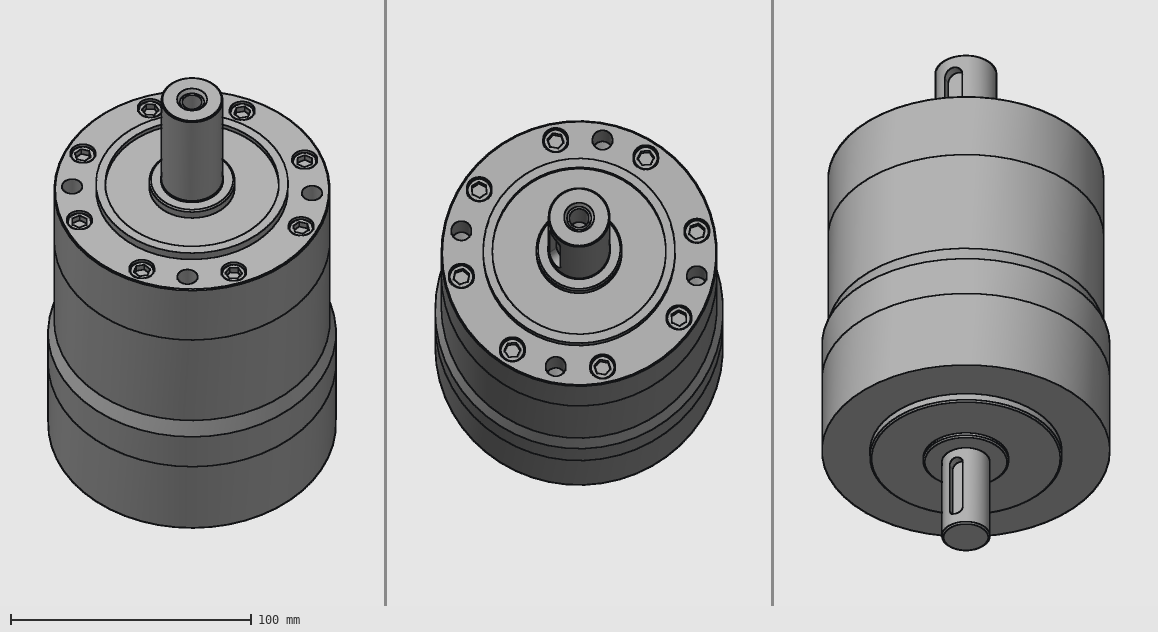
import cadquery as cq
import math

INPUT_HUB_BOTTOM = 39.0
INPUT_BOSS_BOTTOM = 41.0
INPUT_FLANGE_BOTTOM = 44.8
INPUT_FLANGE_TOP = 82.0
CONE_BOTTOM = 100.0
CONE_TOP = 107.2
OUTPUT_FLANGE_BOTTOM = 156.0
OUTPUT_FLANGE_TOP = 186.3
OUTPUT_BOSS_TOP = 190.1
OUTPUT_HUB_TOP = 192.3
SEAL_SEAT_TOP = 193.0
OUTPUT_SHAFT_TOP = 241.0

LARGE_DIAMETER = 120.0
SMALL_DIAMETER = 115.0
BOSS_DIAMETER = 80.0
HUB_DIAMETER = 35.7
OUTPUT_SHAFT_DIAMETER = 25.5
SEAL_SEAT_DIAMETER = 26.0
INPUT_SHAFT_DIAMETER = 20.0

EDGE_CHAMFER = 0.7
OUTPUT_FLANGE_CHAMFER = 0.5
OUTPUT_SHAFT_CHAMFER = 0.5

BOSS_RECESS_DIAMETER = 72.3
BOSS_RECESS_DEPTH = 2.2

OUTPUT_KEY_WIDTH = 8.0
OUTPUT_KEY_DEPTH = 4.0
OUTPUT_KEY_BOTTOM = 196.5
OUTPUT_KEY_TOP = 235.2
INPUT_KEY_WIDTH = 6.0
INPUT_KEY_DEPTH = 3.5
INPUT_KEY_BOTTOM = 5.5
INPUT_KEY_TOP = 34.7

CENTRE_MOUTH_DIAMETER = 12.5
CENTRE_SEAT_DIAMETER = 10.1
CENTRE_SEAT_DEPTH = 1.7
CENTRE_BORE_DIAMETER = 8.2
CENTRE_BORE_DEPTH = 21.7

BOLT_CIRCLE_DIAMETER = 100.0
DRILL_POINT_ANGLE = 120.0
MOUNT_HOLE_COUNT = 4
MOUNT_HOLE_ANGLE = 45.0
MOUNT_HOLE_DIAMETER = 8.5
MOUNT_HOLE_DEPTH = 16.9
SCREW_COUNT = 8
SCREW_ANGLE = 22.5
SCREW_BORE_DIAMETER = 10.5
SCREW_HEAD_DIAMETER = 9.6
SCREW_HEAD_RECESS = 1.0
SCREW_GAP_DEPTH = 2.0
SOCKET_SIDES = 6
SOCKET_ACROSS_FLATS = 6.0
SOCKET_DEPTH = 3.0
SOCKET_TWIST = 7.5


def cylinder(diameter, bottom, top):
    """Cylinder on the Z axis between two heights."""
    return cq.Workplane("XY").workplane(offset=bottom).circle(diameter / 2).extrude(top - bottom)


def drilled_hole(diameter, depth, mouth_height):
    """Drill shape on the Z axis: a straight bore of the given depth with a conical point below it."""
    radius = diameter / 2
    point_length = radius / math.tan(math.radians(DRILL_POINT_ANGLE / 2))
    shoulder_height = mouth_height - depth
    profile = [
        (0, mouth_height),
        (radius, mouth_height),
        (radius, shoulder_height),
        (0, shoulder_height - point_length),
    ]
    return cq.Workplane("XZ").polyline(profile).close().revolve(360, (0, 0, 0), (0, 1, 0))


def at_bolt_circle(shape, angle):
    """Move a shape from the Z axis onto the bolt circle and turn it to the given angle."""
    moved = shape.translate((BOLT_CIRCLE_DIAMETER / 2, 0, 0))
    return moved.rotate((0, 0, 0), (0, 0, 1), angle)


def keyway(shaft_diameter, width, depth, bottom, top):
    """Round-ended slot that opens on the +Y side of a shaft."""
    shaft_radius = shaft_diameter / 2
    return (
        cq.Workplane("XZ", origin=(0, shaft_radius, (bottom + top) / 2))
        .slot2D(top - bottom, width, 90)
        .extrude(depth)
    )


def centre_hole():
    """Conical mouth, flat seat and drilled bore in the end of the output shaft."""
    seat_height = OUTPUT_SHAFT_TOP - CENTRE_SEAT_DEPTH
    mouth = (
        cq.Workplane("XY")
        .workplane(offset=seat_height)
        .circle(CENTRE_SEAT_DIAMETER / 2)
        .workplane(offset=CENTRE_SEAT_DEPTH)
        .circle(CENTRE_MOUTH_DIAMETER / 2)
        .loft()
    )
    return mouth.union(drilled_hole(CENTRE_BORE_DIAMETER, CENTRE_BORE_DEPTH, OUTPUT_SHAFT_TOP))


def screw_recess():
    """Material missing around one sunk socket-head screw: bore, gap round the head, hex socket."""
    head_top = OUTPUT_FLANGE_TOP - SCREW_HEAD_RECESS
    bore = cylinder(SCREW_BORE_DIAMETER, OUTPUT_FLANGE_TOP - SCREW_GAP_DEPTH, OUTPUT_FLANGE_TOP)
    head = cylinder(SCREW_HEAD_DIAMETER, OUTPUT_FLANGE_TOP - SCREW_GAP_DEPTH, head_top)
    across_corners = SOCKET_ACROSS_FLATS / math.cos(math.pi / SOCKET_SIDES)
    socket = (
        cq.Workplane("XY")
        .workplane(offset=head_top)
        .polygon(SOCKET_SIDES, across_corners)
        .extrude(-SOCKET_DEPTH)
        .rotate((0, 0, 0), (0, 0, 1), SOCKET_TWIST)
    )
    return bore.cut(head).union(socket)


def make_output_flange():
    """Output end: flange with boss, hub, shaft, mounting holes and screws."""
    flange = cylinder(SMALL_DIAMETER, OUTPUT_FLANGE_BOTTOM, OUTPUT_FLANGE_TOP)
    flange = flange.faces(">Z").edges().chamfer(OUTPUT_FLANGE_CHAMFER)

    boss = cylinder(BOSS_DIAMETER, OUTPUT_FLANGE_TOP, OUTPUT_BOSS_TOP)
    recess_floor = OUTPUT_BOSS_TOP - BOSS_RECESS_DEPTH
    boss = boss.cut(cylinder(BOSS_RECESS_DIAMETER, recess_floor, OUTPUT_BOSS_TOP))

    hub = cylinder(HUB_DIAMETER, recess_floor, OUTPUT_HUB_TOP)
    hub = hub.faces(">Z").edges().chamfer(EDGE_CHAMFER)

    seal_seat = cylinder(SEAL_SEAT_DIAMETER, OUTPUT_HUB_TOP, SEAL_SEAT_TOP)
    shaft = cylinder(OUTPUT_SHAFT_DIAMETER, SEAL_SEAT_TOP, OUTPUT_SHAFT_TOP)
    shaft = shaft.faces(">Z").edges().chamfer(OUTPUT_SHAFT_CHAMFER)
    shaft = shaft.cut(centre_hole())
    shaft = shaft.cut(
        keyway(OUTPUT_SHAFT_DIAMETER, OUTPUT_KEY_WIDTH, OUTPUT_KEY_DEPTH, OUTPUT_KEY_BOTTOM, OUTPUT_KEY_TOP)
    )

    body = flange.union(boss).union(hub).union(seal_seat).union(shaft)

    mount_hole = drilled_hole(MOUNT_HOLE_DIAMETER, MOUNT_HOLE_DEPTH, OUTPUT_FLANGE_TOP)
    for index in range(MOUNT_HOLE_COUNT):
        angle = MOUNT_HOLE_ANGLE + index * 360 / MOUNT_HOLE_COUNT
        body = body.cut(at_bolt_circle(mount_hole, angle))

    recess = screw_recess()
    for index in range(SCREW_COUNT):
        angle = SCREW_ANGLE + index * 360 / SCREW_COUNT
        body = body.cut(at_bolt_circle(recess, angle))
    return body


def make_ring_housing():
    """Middle housing: large lower cylinder tapering to the smaller upper one."""
    large_radius = LARGE_DIAMETER / 2
    small_radius = SMALL_DIAMETER / 2
    profile = [
        (0, INPUT_FLANGE_TOP),
        (large_radius, INPUT_FLANGE_TOP),
        (large_radius, CONE_BOTTOM),
        (small_radius, CONE_TOP),
        (small_radius, OUTPUT_FLANGE_BOTTOM),
        (0, OUTPUT_FLANGE_BOTTOM),
    ]
    return cq.Workplane("XZ").polyline(profile).close().revolve(360, (0, 0, 0), (0, 1, 0))


def make_input_flange():
    """Input end: flange with boss, hub and keyed shaft below it."""
    flange = cylinder(LARGE_DIAMETER, INPUT_FLANGE_BOTTOM, INPUT_FLANGE_TOP)

    boss = cylinder(BOSS_DIAMETER, INPUT_BOSS_BOTTOM, INPUT_FLANGE_BOTTOM)
    boss = boss.faces("<Z").edges().chamfer(EDGE_CHAMFER)

    hub = cylinder(HUB_DIAMETER, INPUT_HUB_BOTTOM, INPUT_BOSS_BOTTOM)
    hub = hub.faces("<Z").edges().chamfer(EDGE_CHAMFER)

    shaft = cylinder(INPUT_SHAFT_DIAMETER, 0, INPUT_HUB_BOTTOM)
    shaft = shaft.faces("<Z").edges().chamfer(EDGE_CHAMFER)
    shaft = shaft.cut(
        keyway(INPUT_SHAFT_DIAMETER, INPUT_KEY_WIDTH, INPUT_KEY_DEPTH, INPUT_KEY_BOTTOM, INPUT_KEY_TOP)
    )
    return flange.union(boss).union(hub).union(shaft)


output_flange = make_output_flange()
ring_housing = make_ring_housing()
input_flange = make_input_flange()

result = cq.Compound.makeCompound([output_flange.val(), ring_housing.val(), input_flange.val()])